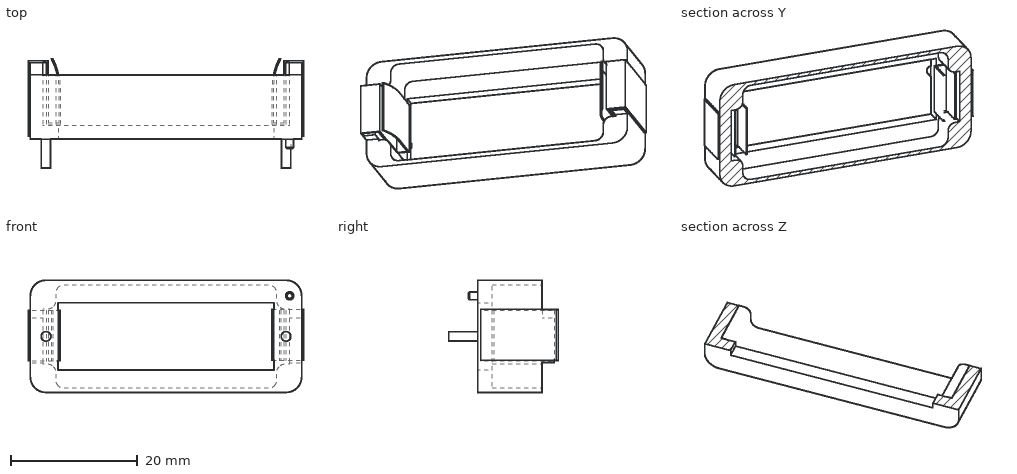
import cadquery as cq
import math

length = 42.9
height = 17.75
depth = 10.2
corner_radius = 2.5
lip_depth = 2.2
window_length = 34.13
window_height = 10.6

cavity_length = 34.9
cavity_height = 16.32
cavity_corner_radius = 1.3
end_wall = 2.0
pocket_height = 8.7
pocket_mouth_radius = 1.3

tongue_bottom = -4.15
tongue_top = 2.95
tongue_length = 1.9

pin_spacing = 37.95
pin_diameter = 1.52
pin_length = 4.55
peg_x = 19.55
peg_z = 6.4
peg_diameter = 1.25
peg_length = 1.5
peg_chamfer = 0.2

sheet = 0.3
clip_height = 8.0
outer_leg_start = 0.5
inner_leg_x = 18.65
inner_leg_start = 2.25
leaf_thickness = 0.2
leaf_apex_x = 16.7
leaf_apex_y = 7.92
leaf_radius = 10.45
leaf_tip_y = 12.75
left_clip_lift = 0.15
right_clip_lift = 0.25

half_length = length / 2
tongue_end = depth + tongue_length
overcut = 0.45


def block(x_size, y_start, y_end, z_size, x_centre=0):
    """Box centred on Z that spans two Y positions."""
    y_size = y_end - y_start
    return cq.Workplane("XY").box(x_size, y_size, z_size).translate((x_centre, y_start + y_size / 2, 0))


def front_stud(x, z, diameter, stud_length):
    """Round stud that stands out of the front face."""
    return cq.Workplane("XZ").center(x, z).circle(diameter / 2).extrude(stud_length)


def make_cavity():
    cavity = block(cavity_length, lip_depth, depth, cavity_height)
    cavity = cavity.edges("|Y").fillet(cavity_corner_radius)
    pockets = block(length - 2 * end_wall, lip_depth, depth, pocket_height)
    cavity = cavity.union(pockets)
    mouth = cq.selectors.BoxSelector(
        (-cavity_length / 2 - overcut / 2, 0, -pocket_height / 2 - overcut / 2),
        (cavity_length / 2 + overcut / 2, depth, pocket_height / 2 + overcut / 2),
    )
    return cavity.edges("|Y").edges(mouth).fillet(pocket_mouth_radius)


def make_housing():
    body = block(length, 0, depth, height).edges("|Y").fillet(corner_radius)
    body = body.cut(block(window_length, -overcut, lip_depth + overcut, window_height))
    body = body.cut(make_cavity())
    for side in (-1, 1):
        tongue_x = side * (half_length - end_wall / 2)
        tongue = block(end_wall, depth - overcut, tongue_end, tongue_top - tongue_bottom, tongue_x)
        body = body.union(tongue.translate((0, 0, (tongue_top + tongue_bottom) / 2)))
        body = body.union(front_stud(side * pin_spacing / 2, 0, pin_diameter, pin_length))
    peg = front_stud(peg_x, peg_z, peg_diameter, peg_length).faces("<Y").chamfer(peg_chamfer)
    return body.union(peg)


def leaf_point(radius, y):
    """Point at a given Y on a leaf arc, on the side that faces the window."""
    centre_x = leaf_apex_x + leaf_radius
    return (centre_x - math.sqrt(radius**2 - (y - leaf_apex_y) ** 2), y)


def make_clip(side, lift):
    """Hook over the tongue whose inner leg folds back into a spring leaf, straight then curved."""
    outer_x = half_length + sheet
    bridge_top = tongue_end + sheet
    fold_top = inner_leg_start + sheet
    leaf_middle_y = (leaf_apex_y + leaf_tip_y) / 2
    back_radius = leaf_radius - leaf_thickness
    profile = (
        cq.Workplane("XY")
        .moveTo(half_length, outer_leg_start)
        .lineTo(outer_x, outer_leg_start)
        .lineTo(outer_x, bridge_top)
        .lineTo(inner_leg_x, bridge_top)
        .lineTo(inner_leg_x, fold_top)
        .lineTo(leaf_apex_x + leaf_thickness, fold_top)
        .lineTo(leaf_apex_x + leaf_thickness, leaf_apex_y)
        .threePointArc(leaf_point(back_radius, leaf_middle_y), leaf_point(back_radius, leaf_tip_y))
        .lineTo(*leaf_point(leaf_radius, leaf_tip_y))
        .threePointArc(leaf_point(leaf_radius, leaf_middle_y), (leaf_apex_x, leaf_apex_y))
        .lineTo(leaf_apex_x, inner_leg_start)
        .lineTo(inner_leg_x + sheet, inner_leg_start)
        .lineTo(inner_leg_x + sheet, tongue_end)
        .lineTo(half_length, tongue_end)
        .close()
    )
    clip = profile.extrude(clip_height / 2, both=True)
    if side < 0:
        clip = clip.mirror("YZ")
    return clip.translate((0, 0, lift))


housing = make_housing()
clips = [make_clip(side, lift) for side, lift in ((-1, left_clip_lift), (1, right_clip_lift))]

result = cq.Compound.makeCompound([housing.val(), *[clip.val() for clip in clips]])